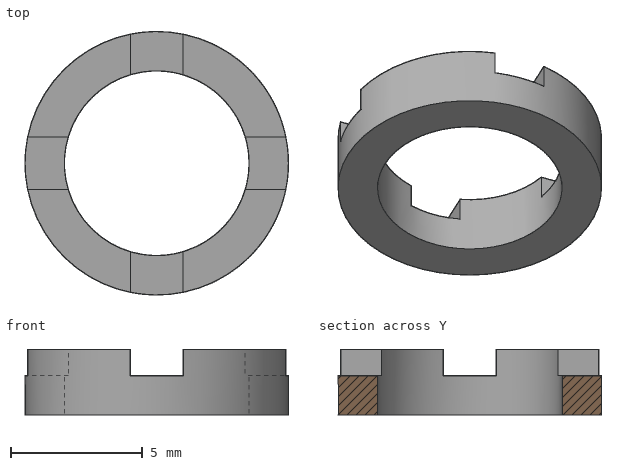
import cadquery as cq

outer_diameter = 10.0
inner_diameter = 7.0
height = 2.5

slot_width = 2.0
slot_depth = 1.0

ring = (
    cq.Workplane("XY")
    .circle(outer_diameter / 2)
    .circle(inner_diameter / 2)
    .extrude(height)
)


def cut_slot(body, angle):
    """Cut one slot straight across the top of the ring, turned by angle about Z."""
    slot = (
        cq.Workplane("XY", origin=(0, 0, height - slot_depth))
        .rect(2 * outer_diameter, slot_width)
        .extrude(2 * slot_depth)
        .rotate((0, 0, 0), (0, 0, 1), angle)
    )
    return body.cut(slot)


result = ring
for slot_angle in (0, 90):
    result = cut_slot(result, slot_angle)